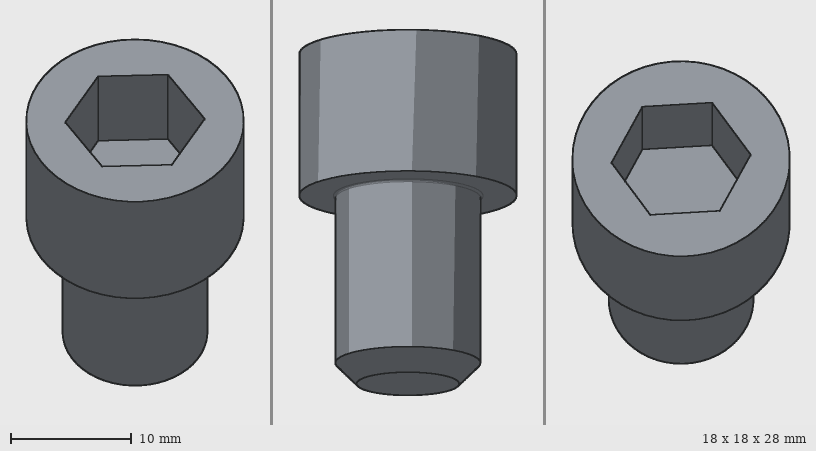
import cadquery as cq
import math

total_length = 28.0
head_diameter = 18.0
shank_diameter = 12.0
head_height = shank_diameter
shank_length = total_length - head_height

tip_chamfer = 1.75
socket_across_flats = 10.0
socket_depth = head_height * 2 / 3
neck_fillet = 0.2


def make_head():
    return cq.Workplane("XY").workplane(offset=shank_length).circle(head_diameter / 2).extrude(head_height)


def make_shank():
    shank = cq.Workplane("XY").circle(shank_diameter / 2).extrude(shank_length)
    return shank.faces("<Z").edges().chamfer(tip_chamfer)


def make_socket():
    """Hexagonal recess with two corners on the X axis."""
    across_corners = socket_across_flats / math.cos(math.pi / 6)
    top = cq.Workplane("XY").workplane(offset=total_length)
    return top.polygon(6, across_corners).extrude(-socket_depth)


def make_body():
    """Head and shank, with a small fillet where they meet."""
    body = make_head().union(make_shank())
    corner_reach = (shank_diameter + head_diameter) / 4
    neck_box = cq.selectors.BoxSelector(
        (-corner_reach, -corner_reach, shank_length - neck_fillet),
        (corner_reach, corner_reach, shank_length + neck_fillet),
        boundingbox=True,
    )
    return body.edges(neck_box).edges("%CIRCLE").fillet(neck_fillet)


result = make_body().cut(make_socket())